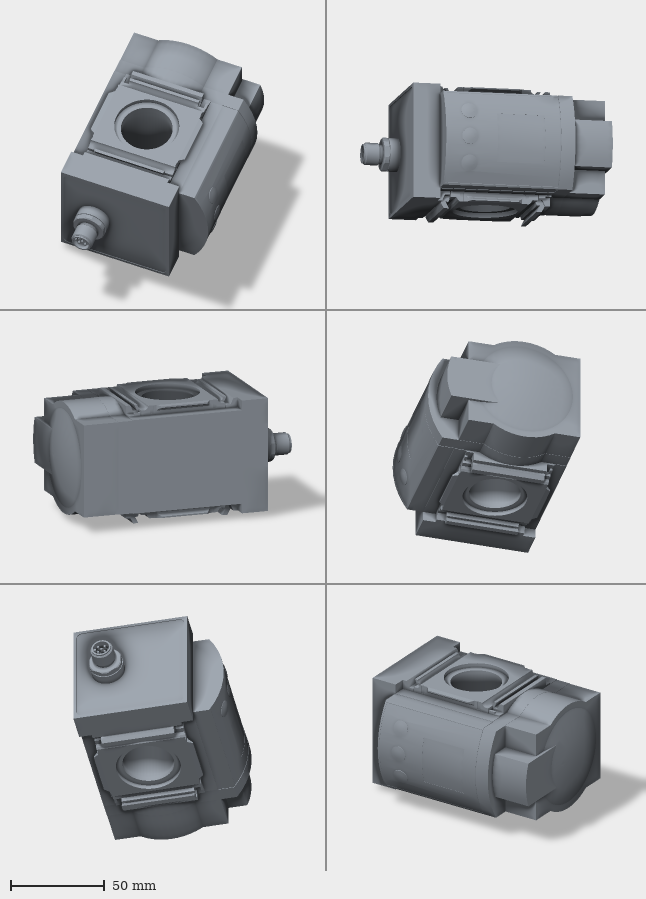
import cadquery as cq
import math

body_half = 31.0
body_front_y = -45.6
rebate_floor_z = 25.7
rail_half_width = 24.2
rebate_front_y = -30.9
over = 1.3

panel_size = 59.0
panel_corner_radius = 3.4
panel_depth = 0.4

bore_diameter = 27.6
counterbore_diameter = 34.6
counterbore_depth = 2.5

cap_flat_z = 25.5
cap_radius = 30.6
cap_rear_y = 58.7
dome_peak_y = 61.9
dome_base_radius = 26.7
dome_rise = dome_peak_y - cap_rear_y
dome_sphere_radius = (dome_base_radius**2 + dome_rise**2) / (2 * dome_rise)
knob_inset = 0.1

cover_corner_x = 39.8
cover_crown_x = 47.8
cover_front_y = -31.2
cover_rear_y = 39.0
seam_width = 0.4
seam_depth = 0.3
inset_depth = 0.1
inset_start_x = 40.5
inset_front_y = -30.2
window_half_height = 13.1
window_front_y = -3.2
window_rear_y = 22.7
cover_sag = cover_crown_x - cover_corner_x
cover_radius = (cap_flat_z**2 + cover_sag**2) / (2 * cover_sag)
cover_axis_x = cover_crown_x - cover_radius

button_radius = 4.4
button_peak_x = 48.4
button_y = -18.1
button_pitch_angle = 18.5
button_rise = button_peak_x - cover_crown_x
button_sphere_radius = (button_radius**2 + button_rise**2) / (2 * button_rise)

rear_box_edge_x = 40.8
rear_box_crown_x = 43.1
rear_box_half_height = 12.6
rear_box_rear_y = 60.4

corner_floor_z = 26.5
channel_floor_z = 27.6
groove_floor_z = 28.7
clip_half_width = 19.8
clip_inner_y = 23.7
lip_foot_y = 26.8
lip_top_y = 28.5
hook_root_y = 24.5
hook_tip_y = 26.1
groove_radius = 2.3
groove_y = 22.0
groove_center_z = groove_floor_z + groove_radius

sloped_groove_outline = [
    (clip_inner_y, groove_floor_z),
    (20.8, groove_floor_z),
    (19.9, 30.1),
    (18.9, body_half),
    (clip_inner_y, body_half),
]
swung_clip_outline = [
    (23.4, corner_floor_z),
    (26.2, corner_floor_z),
    (26.2, channel_floor_z),
    (27.3, 29.0),
    (28.1, 30.9),
    (28.0, 31.8),
    (26.6, 34.1),
    (23.8, 34.1),
    (25.2, 31.5),
    (25.7, 30.6),
    (24.1, 30.6),
    (23.4, 29.0),
]

lip_half_width = 20.3
corner_step_y = 27.7
corner_ridge_x = 22.8
slit_width = 0.5
side_notch_y = 17.9
side_notch_width = 1.9
side_notch_depth = 0.3

tab_root_half = 15.0
tab_tip_half = 12.9
tab_tip_x = 27.0
tab_tip_top_z = 30.6
tab_tip_bottom_z = 29.9
tab_knee = (24.8, 28.9)
tab_root_z = 28.0

connector_x = -12.0
gland_diameter = 18.0
gland_end_y = -50.7
hex_across_flats = 17.0
hex_end_y = -53.8
hex_chamfer = 0.5
neck_diameter = 10.5
neck_end_y = -55.3
thread_diameter = 12.0
thread_end_y = -63.3
thread_chamfer = 0.6
connector_tip_y = -64.1
socket_diameter = 8.7
socket_floor_y = -59.1
pin_diameter = 1.3
pin_end_y = -63.1
pin_spacing = 3.5
key_width = 1.3
key_tip_radius = 3.0


def block(x_range, y_range, z_range):
    """Box given by its lower and upper limits along each axis."""
    size = [high - low for low, high in (x_range, y_range, z_range)]
    corner = (x_range[0], y_range[0], z_range[0])
    return cq.Workplane("XY").box(*size, centered=False).translate(corner)


def xz_plane(y):
    """Work plane facing -Y, with local axes along X and Z."""
    return cq.Workplane("XZ", origin=(0, y, 0))


def disc(diameter, rear_y, front_y, x=connector_x, z=0.0):
    """Cylinder along Y."""
    return xz_plane(rear_y).center(x, z).circle(diameter / 2).extrude(rear_y - front_y)


def rail_prism(points, end, side, half_width):
    """Prism along X from a (Y, Z) outline, flipped to the chosen end and side."""
    outline = [(end * y, side * z) for y, z in points]
    return cq.Workplane("YZ").polyline(outline).close().extrude(half_width, both=True)


def make_body():
    body = block((-body_half, body_half), (body_front_y, body_half), (-body_half, body_half))
    outside = body_half + over
    rebate = block((rail_half_width, outside), (rebate_front_y, outside), (rebate_floor_z, outside))
    for corner in (rebate, rebate.mirror("XY")):
        body = body.cut(corner).cut(corner.mirror("YZ"))
    panel = xz_plane(body_front_y + panel_depth).rect(panel_size, panel_size).extrude(panel_depth + over)
    return body.cut(panel.edges("|Y").fillet(panel_corner_radius))


def cap_section(front_y, rear_y, inset):
    """Length of the cap: flats along the corners with a round barrel rising between them."""
    half_width = body_half - inset
    half_height = cap_flat_z - inset
    flats = block((-half_width, half_width), (front_y, rear_y), (-half_height, half_height))
    return flats.union(disc(2 * (cap_radius - inset), rear_y, front_y, x=0))


def make_cap():
    flange = cap_section(body_half, cover_rear_y, 0)
    knob = cap_section(cover_rear_y, cap_rear_y, knob_inset)
    dome = (
        cq.Workplane("XY")
        .moveTo(0, body_half)
        .lineTo(dome_base_radius, body_half)
        .lineTo(dome_base_radius, cap_rear_y)
        .radiusArc((0, dome_peak_y), -dome_sphere_radius)
        .close()
        .revolve(360, (0, 0, 0), (0, 1, 0))
    )
    return flange.union(knob).union(dome)


def crowned_box(edge_x, crown_x, half_height, front_y, rear_y):
    """Box growing from inside the body towards +X, with an arched outer face."""
    return (
        xz_plane(rear_y)
        .moveTo(0, -half_height)
        .lineTo(edge_x, -half_height)
        .threePointArc((crown_x, 0), (edge_x, half_height))
        .lineTo(0, half_height)
        .close()
        .extrude(rear_y - front_y)
    )


def cover_skin(region, depth):
    """Part of a region lying less than the given depth below the curved cover face."""
    core = disc(2 * (cover_radius - depth), cover_rear_y, cover_front_y, x=cover_axis_x)
    return region.cut(core)


def make_cover():
    cover = crowned_box(cover_corner_x, cover_crown_x, cap_flat_z, cover_front_y, cover_rear_y)
    cover = cover.intersect(
        block((body_half - over, button_peak_x), (cover_front_y, cover_rear_y), (-body_half, body_half))
    )
    seam_y = (body_half, body_half + seam_width)
    seam = block((body_half, button_peak_x), seam_y, (-body_half, body_half))
    seam_core = crowned_box(
        cover_corner_x - seam_depth, cover_crown_x - seam_depth, cap_flat_z - seam_depth, *seam_y
    )
    cover = cover.cut(seam.cut(seam_core))

    inset = block(
        (inset_start_x, button_peak_x), (inset_front_y, body_half), (-body_half, body_half)
    )
    window = block(
        (cover_corner_x, button_peak_x),
        (window_front_y, window_rear_y),
        (-window_half_height, window_half_height),
    )
    cover = cover.cut(cover_skin(inset, inset_depth)).cut(cover_skin(window, 2 * inset_depth))

    button = (
        cq.Workplane("XY")
        .moveTo(cover_corner_x, 0)
        .lineTo(cover_corner_x, button_radius)
        .lineTo(cover_crown_x, button_radius)
        .radiusArc((button_peak_x, 0), button_sphere_radius)
        .close()
        .revolve(360, (0, 0, 0), (1, 0, 0))
        .translate((0, button_y, 0))
    )
    axis_start = (cover_axis_x, 0, 0)
    axis_end = (cover_axis_x, 1, 0)
    for step in (-1, 0, 1):
        cover = cover.union(button.rotate(axis_start, axis_end, step * button_pitch_angle))
    return cover


def make_rear_box():
    return crowned_box(
        rear_box_edge_x, rear_box_crown_x, rear_box_half_height, cover_rear_y - over, rear_box_rear_y
    )


def cut_rail_channel(body, end, side):
    """Undercut channel across the body that holds a clip."""
    top = body_half + over
    channel = [
        (groove_y, groove_floor_z),
        (clip_inner_y, groove_floor_z),
        (clip_inner_y, channel_floor_z),
        (lip_foot_y, channel_floor_z),
        (lip_top_y, body_half),
        (lip_top_y, top),
        (groove_y, top),
    ]
    return body.cut(rail_prism(channel, end, side, rail_half_width + over))


def add_upright_clip(body, end, side):
    """Clip folded flush with the body, with a round groove in front of it."""
    hook = [
        (groove_y, corner_floor_z),
        (hook_root_y, corner_floor_z),
        (hook_root_y, channel_floor_z),
        (hook_tip_y, body_half),
        (groove_y, body_half),
    ]
    body = body.union(rail_prism(hook, end, side, clip_half_width))
    start_x = rail_half_width + over
    groove = cq.Workplane("YZ", origin=(-start_x, end * groove_y, side * groove_center_z))
    return body.cut(groove.circle(groove_radius).extrude(2 * start_x))


def add_swung_clip(body, end, side):
    """Clip swung out past the body, with a sloped groove in front of it."""
    body = body.cut(rail_prism(sloped_groove_outline, end, side, rail_half_width + over))
    return body.union(rail_prism(swung_clip_outline, end, side, clip_half_width))


def cut_rail_ends(body, side):
    """Stepped corners beside the rear lip, slits beside the clips and notches in the rail sides."""
    top = body_half + over
    outer_x = rail_half_width + over
    slit_end_y = clip_inner_y + slit_width
    cuts = [
        block((lip_half_width, outer_x), (corner_step_y, body_half), (corner_floor_z, top)),
        block((lip_half_width, corner_ridge_x), (slit_end_y, body_half), (corner_floor_z, top)),
        block((corner_ridge_x, outer_x), (slit_end_y, corner_step_y), (channel_floor_z, top)),
    ]
    for end in (-1, 1):
        slit_y = sorted((end * clip_inner_y, end * slit_end_y))
        cuts.append(block((clip_half_width, outer_x), slit_y, (rebate_floor_z, top)))
        notch_y = (end * side_notch_y - side_notch_width / 2, end * side_notch_y + side_notch_width / 2)
        notch_x = (rail_half_width - side_notch_depth, outer_x)
        cuts.append(block(notch_x, notch_y, (corner_floor_z, top)))
    for cut in cuts:
        if side < 0:
            cut = cut.mirror("XY")
        body = body.cut(cut).cut(cut.mirror("YZ"))
    return body


def add_side_tabs(body, side):
    """Tabs along the rail sides, undercut towards the root and bevelled at both ends."""
    section = [
        (rail_half_width, body_half),
        (tab_tip_x, tab_tip_top_z),
        (tab_tip_x, tab_tip_bottom_z),
        tab_knee,
        (rail_half_width, tab_root_z),
    ]
    plan = [
        (rail_half_width, -tab_root_half),
        (tab_tip_x, -tab_tip_half),
        (tab_tip_x, tab_tip_half),
        (rail_half_width, tab_root_half),
    ]
    prism = cq.Workplane("XZ").polyline(section).close().extrude(tab_root_half, both=True)
    tab = prism.intersect(cq.Workplane("XY").polyline(plan).close().extrude(body_half))
    if side < 0:
        tab = tab.mirror("XY")
    return body.union(tab).union(tab.mirror("YZ"))


def make_connector():
    gland = disc(gland_diameter, body_front_y + over, gland_end_y)

    nut_length = gland_end_y - hex_end_y
    nut_round = disc(gland_diameter, gland_end_y, hex_end_y).edges("%CIRCLE").chamfer(hex_chamfer)
    nut = (
        xz_plane(gland_end_y)
        .polygon(6, hex_across_flats / math.cos(math.pi / 6))
        .extrude(nut_length)
        .rotate((0, 0, 0), (0, 1, 0), 30)
        .translate((connector_x, 0, 0))
        .intersect(nut_round)
    )

    core = disc(neck_diameter, hex_end_y, connector_tip_y)
    thread = disc(thread_diameter, neck_end_y, thread_end_y).edges().chamfer(thread_chamfer)
    connector = gland.union(nut).union(core).union(thread)
    connector = connector.cut(disc(socket_diameter, socket_floor_y, connector_tip_y - over))

    offset = pin_spacing / 2
    pin_places = [(0, 0)] + [(x, z) for x in (-offset, offset) for z in (-offset, offset)]
    for x, z in pin_places:
        connector = connector.union(disc(pin_diameter, socket_floor_y + over, pin_end_y, connector_x + x, z))

    key_x = (connector_x - socket_diameter / 2 - key_width / 4, connector_x - key_tip_radius)
    key = block(key_x, (pin_end_y, socket_floor_y + over), (-key_width / 2, key_width / 2))
    return connector.union(key)


def make_ports(part):
    """Bore through the part with a counterbore at each end."""
    part = part.cut(cq.Workplane("XY").circle(bore_diameter / 2).extrude(2 * body_half, both=True))
    for side in (-1, 1):
        plane = cq.Workplane("XY", origin=(0, 0, side * (body_half - counterbore_depth)))
        counterbore = plane.circle(counterbore_diameter / 2).extrude(side * (counterbore_depth + over))
        part = part.cut(counterbore)
    return part


result = make_body()
for side in (-1, 1):
    for end in (-1, 1):
        result = cut_rail_channel(result, end, side)
        if side > 0:
            result = add_upright_clip(result, end, side)
        else:
            result = add_swung_clip(result, end, side)
    result = cut_rail_ends(result, side)
    result = add_side_tabs(result, side)

for piece in (make_cap(), make_cover(), make_rear_box(), make_connector()):
    result = result.union(piece)
result = make_ports(result)